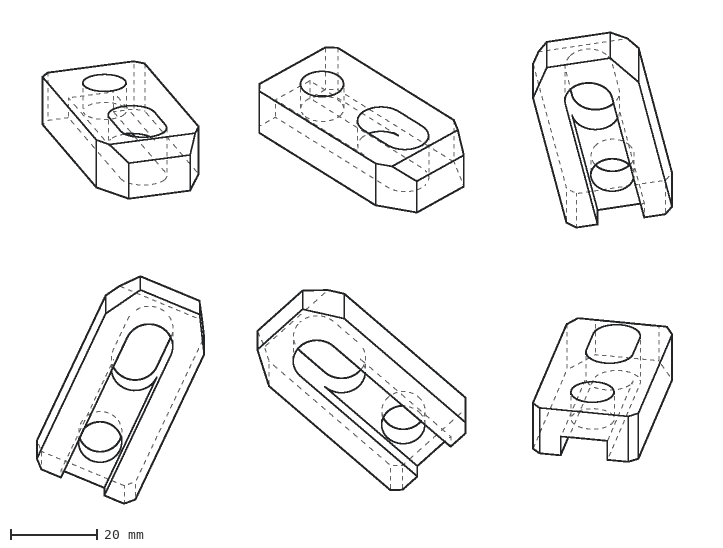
import cadquery as cq
import math

length = 50
width = 25
height = 12

rear_chamfer = 2
nose_angle = math.radians(30)
nose_side_depth = 5
nose_side_length = nose_side_depth / math.tan(nose_angle)
nose_drop = 3
nose_slope_length = nose_drop / math.tan(nose_angle)

hole_diameter = 10
hole_x = 10
slot_width = 11
slot_start = 24.5
slot_end = 43.5
slot_length = slot_end - slot_start
slot_x = (slot_start + slot_end) / 2
groove_depth = 5


def make_body():
    """Block with chamfered rear corners and a nose tapered in plan."""
    half_width = width / 2
    return (
        cq.Workplane("XY")
        .moveTo(0, half_width - rear_chamfer)
        .lineTo(rear_chamfer, half_width)
        .lineTo(length - nose_side_length, half_width)
        .lineTo(length, half_width - nose_side_depth)
        .lineTo(length, -half_width + nose_side_depth)
        .lineTo(length - nose_side_length, -half_width)
        .lineTo(rear_chamfer, -half_width)
        .lineTo(0, -half_width + rear_chamfer)
        .close()
        .extrude(height)
    )


def make_nose_slope():
    """Wedge removed from the top of the nose, across the full width."""
    return (
        cq.Workplane("XZ")
        .moveTo(length - nose_slope_length, height)
        .lineTo(length, height)
        .lineTo(length, height - nose_drop)
        .close()
        .extrude(width / 2, both=True)
    )


def make_hole():
    """Round through hole."""
    return cq.Workplane("XY").center(hole_x, 0).circle(hole_diameter / 2).extrude(height)


def make_slot():
    """Rounded through slot."""
    return cq.Workplane("XY").center(slot_x, 0).slot2D(slot_length, slot_width).extrude(height)


def make_groove():
    """Underside groove, open at the rear and running into the slot."""
    return cq.Workplane("XY").box(slot_x, slot_width, groove_depth, centered=(False, True, False))


result = (
    make_body()
    .cut(make_nose_slope())
    .cut(make_hole())
    .cut(make_slot())
    .cut(make_groove())
)